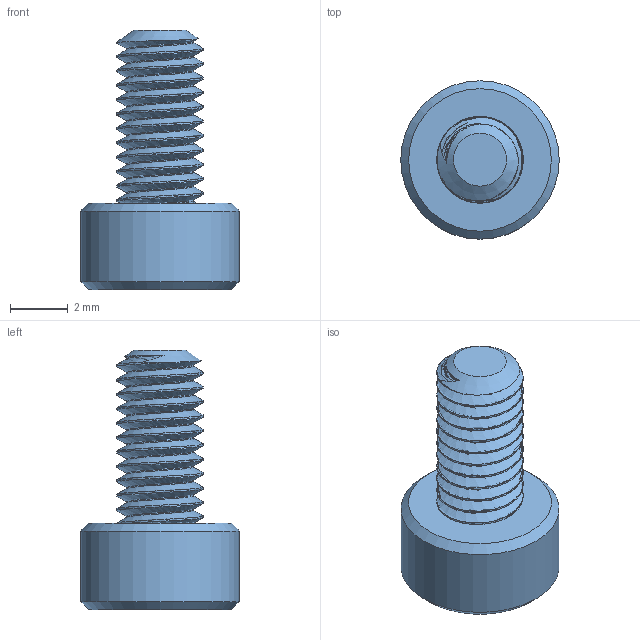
import cadquery as cq
import math

head_diameter = 5.5
head_height = 3.0
head_chamfer = 0.275

thread_diameter = 3.0
thread_length = 6.0
pitch = 0.5
flank_angle = 30.0
crest_flat = pitch / 8
root_flat = 0.04
groove_angle_at_head = -68.5

tip_radius = 0.92
tip_angle = 35.0

total_height = head_height + thread_length
thread_radius = thread_diameter / 2
flank_width = (pitch - crest_flat - root_flat) / 2
root_radius = thread_radius - flank_width / math.tan(math.radians(flank_angle))
degrees_per_mm = 360 / pitch
flank_steps = 8


def polar_point(radius, angle):
    """XY point at a radius and an angle in degrees."""
    return (radius * math.cos(math.radians(angle)), radius * math.sin(math.radians(angle)))


def flank_points(side):
    """Spiral from root to crest in the cross-section, on the +1 or -1 side of the groove."""
    root_half_angle = root_flat / 2 * degrees_per_mm
    flank_sweep = flank_width * degrees_per_mm
    points = []
    for step in range(flank_steps + 1):
        rise = step / flank_steps
        radius = root_radius + rise * (thread_radius - root_radius)
        angle = groove_angle_at_head + side * (root_half_angle + rise * flank_sweep)
        points.append(polar_point(radius, angle))
    return points


def make_head():
    """Cylindrical head with equal chamfers on both rims."""
    blank = cq.Workplane("XY").circle(head_diameter / 2).extrude(head_height)
    return blank.faces("<Z or >Z").chamfer(head_chamfer)


def make_thread():
    """Threaded rod: the cross-section of a single-start thread, twisted along Z."""
    outward_flank = flank_points(1)
    inward_flank = flank_points(-1)[::-1]
    root_middle = polar_point(root_radius, groove_angle_at_head)
    crest_middle = polar_point(thread_radius, groove_angle_at_head + 180)
    section = (
        cq.Workplane("XY", origin=(0, 0, head_height))
        .moveTo(*inward_flank[-1])
        .threePointArc(root_middle, outward_flank[0])
        .spline(outward_flank[1:], includeCurrent=True)
        .threePointArc(crest_middle, inward_flank[0])
        .spline(inward_flank[1:], includeCurrent=True)
        .close()
    )
    return section.twistExtrude(thread_length, thread_length * degrees_per_mm)


def make_tip_cutter():
    """Ring that leaves a cone on the end of the thread; it clears the crests all round."""
    clearance = 0.5
    cone_slope = math.tan(math.radians(tip_angle))
    outer_radius = thread_radius + clearance
    cutter_top = total_height + clearance
    return (
        cq.Workplane("XZ")
        .moveTo(tip_radius, total_height)
        .lineTo(outer_radius, total_height - (outer_radius - tip_radius) * cone_slope)
        .lineTo(outer_radius, cutter_top)
        .lineTo(tip_radius, cutter_top)
        .close()
        .revolve(360, (0, 0, 0), (0, 1, 0))
    )


threaded_shank = make_thread().cut(make_tip_cutter())
result = make_head().union(threaded_shank)